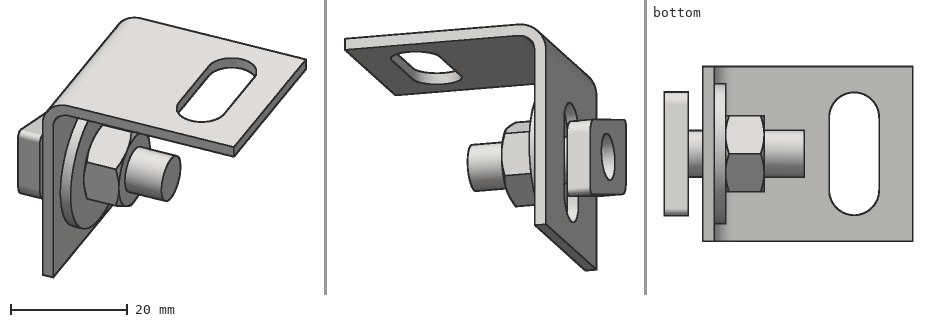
import cadquery as cq
import math

overall_length = 42.6

leg = 36.0
bracket_width = 30.0
sheet = 2.0
bend_outer_radius = 5.0
bend_inner_radius = bend_outer_radius - sheet
wall_x = overall_length - leg
wall_inner_x = wall_x + sheet

slot_length = 21.0
slot_width = 8.5
wall_slot_z = 15.05
flange_slot_edge_distance = 10.05
flange_slot_x = overall_length - flange_slot_edge_distance

bolt_axis_z = 15.5
bolt_length = 24.0
shank_diameter = 8.0
head_thickness = 4.15
bore_depth = 3.9
head_width = 21.25
head_depth = 12.85
head_slope = math.radians(15)
head_sharp_radius = 1.0
head_blunt_radius = 3.0
washer_diameter = 24.0
washer_thickness = 1.9
nut_across_flats = 13.0
nut_thickness = 6.6
nut_chamfer_angle = math.radians(30)


def disc(start_x, length, diameter):
    """Cylinder along X on the bolt axis."""
    return (
        cq.Workplane("YZ", origin=(start_x, 0, bolt_axis_z))
        .circle(diameter / 2)
        .extrude(length)
    )


def make_bracket():
    """Bent sheet with a slot through each leg."""
    nearest_edge = cq.selectors.NearestToPointSelector
    sheet_profile = (
        cq.Workplane("XZ", origin=(0, bracket_width / 2, 0))
        .moveTo(wall_x, 0)
        .lineTo(wall_x, leg)
        .lineTo(overall_length, leg)
        .lineTo(overall_length, leg - sheet)
        .lineTo(wall_inner_x, leg - sheet)
        .lineTo(wall_inner_x, 0)
        .close()
    )
    body = sheet_profile.extrude(bracket_width)
    body = body.edges(nearest_edge((wall_x, 0, leg))).fillet(bend_outer_radius)
    body = body.edges(nearest_edge((wall_inner_x, 0, leg - sheet))).fillet(bend_inner_radius)

    wall_slot = (
        cq.Workplane("YZ", origin=(wall_x, 0, wall_slot_z))
        .slot2D(slot_length, slot_width, 90)
        .extrude(sheet)
    )
    flange_slot = (
        cq.Workplane("XY", origin=(flange_slot_x, 0, leg - sheet))
        .slot2D(slot_length, slot_width, 90)
        .extrude(sheet)
    )
    return body.cut(wall_slot).cut(flange_slot)


def make_head():
    """Parallelogram plate with rounded corners and a blind bore as wide as the shank."""
    half_width = head_width / 2
    half_height = head_depth / math.cos(head_slope) / 2
    rise = half_width * math.tan(head_slope)
    corners = [
        (-half_width, half_height + rise),
        (half_width, half_height - rise),
        (half_width, -half_height - rise),
        (-half_width, -half_height + rise),
    ]
    plate = (
        cq.Workplane("YZ", origin=(0, 0, bolt_axis_z))
        .polyline(corners)
        .close()
        .extrude(head_thickness)
    )
    for index, (y, z) in enumerate(corners):
        radius = head_blunt_radius if index % 2 else head_sharp_radius
        corner_edge = cq.selectors.NearestToPointSelector((head_thickness / 2, y, bolt_axis_z + z))
        plate = plate.edges(corner_edge).fillet(radius)
    return plate.cut(disc(0, bore_depth, shank_diameter))


def make_nut(start_x):
    """Hexagon with corners up and down, chamfered at both ends."""
    across_corners = nut_across_flats / math.cos(math.radians(30))
    chamfer_radial = (across_corners - nut_across_flats) / 2
    chamfer_axial = chamfer_radial * math.tan(nut_chamfer_angle)
    hexagon = (
        cq.Workplane("YZ", origin=(start_x, 0, bolt_axis_z))
        .transformed(rotate=(0, 0, 90))
        .polygon(6, across_corners)
        .extrude(nut_thickness)
    )
    envelope = disc(start_x, nut_thickness, across_corners)
    envelope = envelope.faces("<X or >X").edges().chamfer(chamfer_axial, chamfer_radial)
    return hexagon.intersect(envelope)


def make_clamping_bolt():
    """Head, shank, washer and nut as one body."""
    shank = disc(head_thickness, bolt_length - head_thickness, shank_diameter)
    washer = disc(wall_inner_x, washer_thickness, washer_diameter)
    nut = make_nut(wall_inner_x + washer_thickness)
    return make_head().union(shank).union(washer).union(nut)


bracket = make_bracket()
clamping_bolt = make_clamping_bolt()

result = cq.Compound.makeCompound([bracket.val(), clamping_bolt.val()])